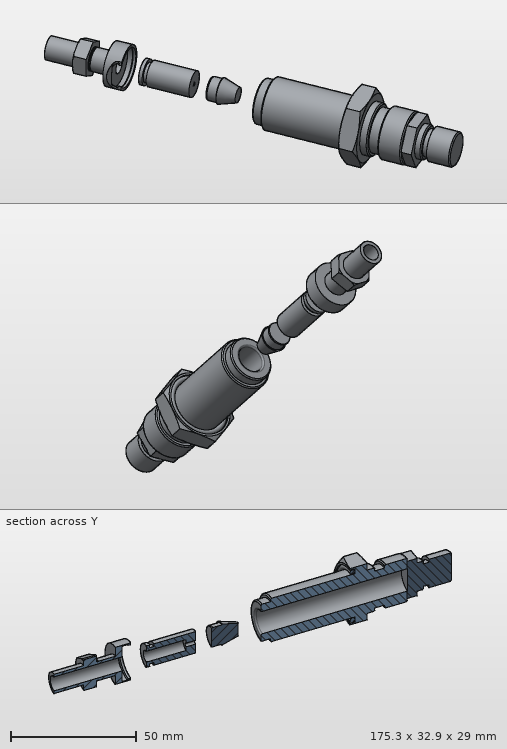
import cadquery as cq
import math

LENGTH = 175.3

STEM_DIAMETER = 10.0
STEM_BORE = 6.8
STEM_TURN = -3.0
STEM_HEX_START, STEM_HEX_END = 13.0, 18.8
STEM_HEX_FLATS = 14.0
STEM_HEX_CHAMFER = 0.5
STEM_HEX_FACE_DIAMETER = 14.7
RELIEF_DIAMETER = 9.6
RELIEF_START, RELIEF_END = 19.1, 19.6
CAP_DIAMETER = 19.0
CAP_START, CAP_END = 27.0, 33.8
CAP_FLOOR = 30.1
CAP_GROOVE_DIAMETER = 17.5
CAP_GROOVE_END = 32.2
CAP_BORE = 16.6
CAP_NOTCH_START = 28.5
CAP_FLAT_OFFSET = 6.7
CAP_NOTCH_FILLET = 2.6

SLEEVE_START, SLEEVE_END = 40.7, 62.4
SLEEVE_DIAMETER = 11.0
SLEEVE_GROOVE_DIAMETER = 8.5
SLEEVE_GROOVE_START, SLEEVE_GROOVE_END = 42.2, 44.0
SLEEVE_COUNTERBORE = 5.3
SLEEVE_COUNTERBORE_DEPTH = 17.5
SLEEVE_BORE = 1.5

PLUG_START, PLUG_SHOULDER, PLUG_END = 69.4, 74.0, 81.3
PLUG_DIAMETER = 10.0
PLUG_TAPER_DIAMETER = 11.0
PLUG_NOSE_DIAMETER = 6.5
PLUG_LEAD_LENGTH = 0.5
PLUG_LEAD_DEPTH = 0.2

HOUSING_START, HOUSING_END = 91.1, 155.8
HOUSING_DIAMETER = 22.0
HOUSING_NECK_DIAMETER = 19.0
HOUSING_CHAMFER = 0.5
PILOT_END = 95.3
HOUSING_HEX_START, HOUSING_HEX_END = 130.4, 138.1
HOUSING_HEX_FLATS = 28.5
HOUSING_HEX_CHAMFER = 0.9
HOUSING_HEX_FACE_DIAMETER = 28.4
HOUSING_TURN = 1.7
NECK_START, NECK_END = 141.5, 145.6
HOUSING_BORE = 11.0
HOUSING_MOUTH_FILLET = 0.7

RING_SECTION = 2.3

ADAPTER_HEX_END = 160.2
ADAPTER_HEX_FLATS = 19.0
ADAPTER_TURN = -4.0
SPIGOT_DIAMETER = 14.5
SPIGOT_CHAMFER = 0.5
SPIGOT_GROOVE_DIAMETER = 11.5
SPIGOT_GROOVE_START, SPIGOT_GROOVE_END = 163.0, 165.3


def turned(profile):
    """Solid of revolution about X from a closed outline of (x, radius) points."""
    return cq.Workplane("XY").polyline(profile).close().revolve(360, (0, 0), (1, 0))


def cylinder(start, end, diameter):
    return cq.Workplane("YZ", origin=(start, 0, 0)).circle(diameter / 2).extrude(end - start)


def chamfered_cylinder(start, end, diameter, start_chamfer, end_chamfer):
    body = cylinder(start, end, diameter)
    if start_chamfer:
        body = body.faces("<X").chamfer(start_chamfer)
    if end_chamfer:
        body = body.faces(">X").chamfer(end_chamfer)
    return body


def hexagon(start, end, flats):
    """Hexagonal prism along X with two corners on the Y axis."""
    corners = flats / math.cos(math.pi / 6)
    return cq.Workplane("YZ", origin=(start, 0, 0)).polygon(6, corners).extrude(end - start)


def corner_envelope(start, end, flats, face_diameter, start_chamfer, end_chamfer):
    """Turned shape that bevels the corners of a hexagon where it is intersected with it."""
    face = face_diameter / 2
    corner = flats / math.cos(math.pi / 6) / 2
    profile = [(start, 0), (start, face if start_chamfer else corner)]
    if start_chamfer:
        profile.append((start + start_chamfer, corner))
    if end_chamfer:
        profile.append((end - end_chamfer, corner))
    profile += [(end, face if end_chamfer else corner), (end, 0)]
    return turned(profile)


def turn(body, degrees):
    return body.rotate((0, 0, 0), (1, 0, 0), degrees)


def cap_notch():
    """Cutter for the side of the cap: a 45 degree ramp running out into a flat."""
    outside = CAP_DIAMETER
    ramp_end = CAP_NOTCH_START + CAP_DIAMETER / 2 - CAP_FLAT_OFFSET
    ramp_outside = CAP_NOTCH_START - (outside - CAP_DIAMETER / 2)
    beyond = CAP_END + CAP_DIAMETER
    return (
        cq.Workplane("XY")
        .moveTo(ramp_outside, -outside)
        .lineTo(ramp_end, -CAP_FLAT_OFFSET)
        .lineTo(beyond, -CAP_FLAT_OFFSET)
        .lineTo(beyond, -outside)
        .close()
        .extrude(CAP_DIAMETER, both=True)
        .edges(cq.selectors.NearestToPointSelector((ramp_end, -CAP_FLAT_OFFSET, 0)))
        .fillet(CAP_NOTCH_FILLET)
    )


def make_stem():
    tube = cylinder(0, CAP_START, STEM_DIAMETER)
    relief = cylinder(RELIEF_START, RELIEF_END, STEM_DIAMETER).cut(
        cylinder(RELIEF_START, RELIEF_END, RELIEF_DIAMETER)
    )
    collar = turn(hexagon(STEM_HEX_START, STEM_HEX_END, STEM_HEX_FLATS), 90).intersect(
        corner_envelope(
            STEM_HEX_START, STEM_HEX_END, STEM_HEX_FLATS, STEM_HEX_FACE_DIAMETER, STEM_HEX_CHAMFER, 0
        )
    )
    taper = (CAP_GROOVE_DIAMETER - CAP_BORE) / 2
    cavity = turned(
        [
            (CAP_FLOOR, 0),
            (CAP_FLOOR, CAP_GROOVE_DIAMETER / 2),
            (CAP_GROOVE_END, CAP_GROOVE_DIAMETER / 2),
            (CAP_GROOVE_END + taper, CAP_BORE / 2),
            (CAP_END, CAP_BORE / 2),
            (CAP_END, 0),
        ]
    )
    cap = cylinder(CAP_START, CAP_END, CAP_DIAMETER).cut(cavity).cut(cap_notch())
    stem = tube.cut(relief).union(collar).union(cap).cut(cylinder(0, CAP_END, STEM_BORE))
    return turn(stem, STEM_TURN)


def make_sleeve():
    barrel = cylinder(SLEEVE_START, SLEEVE_END, SLEEVE_DIAMETER)
    groove = cylinder(SLEEVE_GROOVE_START, SLEEVE_GROOVE_END, SLEEVE_DIAMETER).cut(
        cylinder(SLEEVE_GROOVE_START, SLEEVE_GROOVE_END, SLEEVE_GROOVE_DIAMETER)
    )
    counterbore = cylinder(SLEEVE_START, SLEEVE_START + SLEEVE_COUNTERBORE_DEPTH, SLEEVE_COUNTERBORE)
    bore = cylinder(SLEEVE_START, SLEEVE_END, SLEEVE_BORE)
    return barrel.cut(groove).cut(counterbore).cut(bore)


def make_plug():
    return turned(
        [
            (PLUG_START, 0),
            (PLUG_START, PLUG_DIAMETER / 2 - PLUG_LEAD_DEPTH),
            (PLUG_START + PLUG_LEAD_LENGTH, PLUG_DIAMETER / 2),
            (PLUG_SHOULDER, PLUG_DIAMETER / 2),
            (PLUG_SHOULDER, PLUG_TAPER_DIAMETER / 2),
            (PLUG_END, PLUG_NOSE_DIAMETER / 2),
            (PLUG_END, 0),
        ]
    )


def make_housing():
    pilot = chamfered_cylinder(HOUSING_START, PILOT_END, HOUSING_NECK_DIAMETER, HOUSING_CHAMFER, 0)
    barrel = chamfered_cylinder(PILOT_END, NECK_START, HOUSING_DIAMETER, HOUSING_CHAMFER, HOUSING_CHAMFER)
    neck = cylinder(NECK_START, NECK_END, HOUSING_NECK_DIAMETER)
    tail = chamfered_cylinder(NECK_END, HOUSING_END, HOUSING_DIAMETER, HOUSING_CHAMFER, HOUSING_CHAMFER)
    collar = hexagon(HOUSING_HEX_START, HOUSING_HEX_END, HOUSING_HEX_FLATS).intersect(
        corner_envelope(
            HOUSING_HEX_START,
            HOUSING_HEX_END,
            HOUSING_HEX_FLATS,
            HOUSING_HEX_FACE_DIAMETER,
            HOUSING_HEX_CHAMFER,
            HOUSING_HEX_CHAMFER,
        )
    )
    ring_groove = cylinder(
        HOUSING_HEX_START, HOUSING_HEX_START + RING_SECTION, HOUSING_DIAMETER + 2 * RING_SECTION
    )
    housing = pilot.union(collar.cut(ring_groove)).union(barrel).union(neck).union(tail)
    housing = housing.cut(cylinder(HOUSING_START, HOUSING_END, HOUSING_BORE))
    mouth = cq.selectors.RadiusNthSelector(0)
    housing = housing.faces("<X").edges(mouth).fillet(HOUSING_MOUTH_FILLET)
    return turn(housing, HOUSING_TURN)


def make_ring():
    """O-ring that fills the width and depth of its groove."""
    middle_x = HOUSING_HEX_START + RING_SECTION / 2
    middle_radius = (HOUSING_DIAMETER + RING_SECTION) / 2
    return (
        cq.Workplane("XY")
        .center(middle_x, middle_radius)
        .circle(RING_SECTION / 2)
        .revolve(360, (0, -middle_radius), (1, -middle_radius))
    )


def make_adapter():
    collar = hexagon(HOUSING_END, ADAPTER_HEX_END, ADAPTER_HEX_FLATS)
    base = chamfered_cylinder(ADAPTER_HEX_END, SPIGOT_GROOVE_START, SPIGOT_DIAMETER, 0, SPIGOT_CHAMFER)
    neck = cylinder(SPIGOT_GROOVE_START, SPIGOT_GROOVE_END, SPIGOT_GROOVE_DIAMETER)
    spigot = chamfered_cylinder(SPIGOT_GROOVE_END, LENGTH, SPIGOT_DIAMETER, 0, SPIGOT_CHAMFER)
    return turn(collar.union(base).union(neck).union(spigot), ADAPTER_TURN)


stem = make_stem()
sleeve = make_sleeve()
plug = make_plug()
housing = make_housing()
ring = make_ring()
adapter = make_adapter()

result = cq.Compound.makeCompound(
    [stem.val(), sleeve.val(), plug.val(), housing.val(), ring.val(), adapter.val()]
)